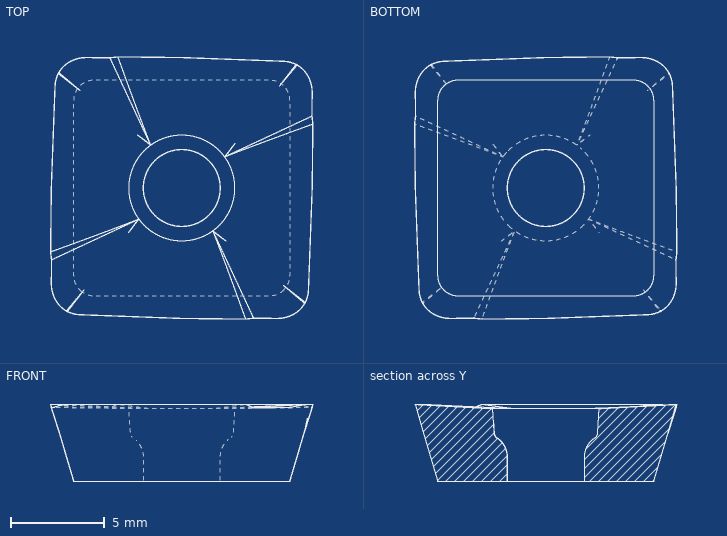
import cadquery as cq
import math

THICKNESS = 4.13
FLANK_BREAK_DEPTH = 1.53
FLANK_BREAK_HEIGHT = THICKNESS - FLANK_BREAK_DEPTH

EDGE_MIDDLE_OFFSET = 6.975
CUTTING_EDGE_ANGLE = math.radians(0.6)
TRAILING_EDGE_ANGLE = math.radians(2.1)
TOP_CORNER_RADIUS = 1.65

BREAK_HALF_WIDTH = 6.54
BREAK_CORNER_RADIUS = 1.35
BASE_HALF_WIDTH = 5.77
BASE_CORNER_RADIUS = 1.1

HOLE_RADIUS = 4.1 / 2
MOUTH_RADIUS = 2.83
MOUTH_DEPTH = 0.23
MOUTH_HEIGHT = THICKNESS - MOUTH_DEPTH
MOUTH_CORNER_HALF_ANGLE = math.radians(8)
SEAT_OUTER_RADIUS = 2.75
SEAT_INNER_RADIUS = 2.54
SEAT_OUTER_DEPTH = FLANK_BREAK_DEPTH
SEAT_INNER_DEPTH = 1.83
SEAT_END_DEPTH = 2.83

RELIEF_DEPTH = 0.17
RELIEF_STEP_START = 3.4
RELIEF_STEP_END = 3.85
RELIEF_FLOOR_END = 5.75
RELIEF_APEX_ANGLE = math.radians(-54)
RELIEF_HINGE_POINT = (6.65, -6.15)
RELIEF_REACH = 8.5

SIDES = 4


def turned(x, y, side):
    """Point turned about the hole axis to the given side."""
    angle = 2 * math.pi * side / SIDES
    c = math.cos(angle)
    s = math.sin(angle)
    return x * c - y * s, x * s + y * c


def rounded_outline(middle_offset, corner, corner_radius, height):
    """Closed outline through four edge middles and four rounded corners."""
    points = []
    for side in range(SIDES):
        points.append(cq.Vector(*turned(0, -middle_offset, side), height))
        points.append(cq.Vector(*turned(*corner, side), height))
    wire = cq.Wire.makePolygon(points, close=True)
    corner_limit = (middle_offset + math.hypot(*corner)) / 2
    corners = [v for v in wire.Vertices() if math.hypot(v.X, v.Y) > corner_limit]
    return wire.fillet2D(corner_radius, corners)


def square_outline(half_width, corner_radius, height):
    return rounded_outline(half_width, (half_width, -half_width), corner_radius, height)


def top_outline():
    """Bent-edge outline; each corner joins a cutting half-edge to a trailing one."""
    fall = math.tan(CUTTING_EDGE_ANGLE)
    lean = math.tan(TRAILING_EDGE_ANGLE)
    corner_x = EDGE_MIDDLE_OFFSET * (1 - lean) / (1 + fall * lean)
    corner_y = -(EDGE_MIDDLE_OFFSET + fall * corner_x)
    return rounded_outline(EDGE_MIDDLE_OFFSET, (corner_x, corner_y), TOP_CORNER_RADIUS, THICKNESS)


def insert_body():
    flank_break = square_outline(BREAK_HALF_WIDTH, BREAK_CORNER_RADIUS, FLANK_BREAK_HEIGHT)
    base = square_outline(BASE_HALF_WIDTH, BASE_CORNER_RADIUS, 0)
    lower = cq.Solid.makeLoft([base, flank_break], True)
    upper = cq.Solid.makeLoft([flank_break, top_outline()], True)
    return cq.Workplane(obj=lower).union(cq.Workplane(obj=upper))


def mouth_point(angle):
    """Point on the mouth circle of the screw hole."""
    return cq.Vector(MOUTH_RADIUS * math.cos(angle), MOUTH_RADIUS * math.sin(angle), MOUTH_HEIGHT)


def mouth_outline():
    """Mouth circle split to pair one arc with each line and corner of the top outline."""
    breaks = []
    for side in range(SIDES):
        edge_middle = 2 * math.pi * side / SIDES - math.pi / 2
        corner = edge_middle + math.pi / SIDES
        breaks += [edge_middle, corner - MOUTH_CORNER_HALF_ANGLE, corner + MOUTH_CORNER_HALF_ANGLE]
    breaks.append(breaks[0] + 2 * math.pi)
    arcs = []
    for start, end in zip(breaks, breaks[1:]):
        points = [mouth_point(angle) for angle in (start, (start + end) / 2, end)]
        arcs.append(cq.Edge.makeThreePointArc(*points))
    return cq.Wire.assembleEdges(arcs)


def rake_dish():
    """Shallow dish ruled from the cutting edge down to the hole mouth."""
    return cq.Workplane(obj=cq.Solid.makeLoft([mouth_outline(), top_outline()], True))


def screw_hole():
    """Revolved cutter: tapered mouth, concave fillet, convex seat, through hole."""
    seat_inset = SEAT_INNER_RADIUS - HOLE_RADIUS
    seat_drop = SEAT_END_DEPTH - SEAT_INNER_DEPTH
    seat_radius = (seat_inset**2 + seat_drop**2) / (2 * seat_inset)
    half_sweep = math.asin(seat_drop / seat_radius) / 2
    arc_middle = (
        HOLE_RADIUS + seat_radius * (1 - math.cos(half_sweep)),
        THICKNESS - SEAT_END_DEPTH + seat_radius * math.sin(half_sweep),
    )
    fillet_inset = SEAT_OUTER_RADIUS - SEAT_INNER_RADIUS
    fillet_drop = SEAT_INNER_DEPTH - SEAT_OUTER_DEPTH
    fillet_radius = (fillet_inset**2 + fillet_drop**2) / (2 * fillet_inset)
    fillet_half_sweep = math.asin(fillet_drop / fillet_radius) / 2
    fillet_middle = (
        SEAT_OUTER_RADIUS - fillet_radius * (1 - math.cos(fillet_half_sweep)),
        THICKNESS - SEAT_OUTER_DEPTH - fillet_radius * math.sin(fillet_half_sweep),
    )
    return (
        cq.Workplane("XZ")
        .moveTo(0, 0)
        .lineTo(HOLE_RADIUS, 0)
        .lineTo(HOLE_RADIUS, THICKNESS - SEAT_END_DEPTH)
        .threePointArc(arc_middle, (SEAT_INNER_RADIUS, THICKNESS - SEAT_INNER_DEPTH))
        .threePointArc(fillet_middle, (SEAT_OUTER_RADIUS, THICKNESS - SEAT_OUTER_DEPTH))
        .lineTo(MOUTH_RADIUS, MOUTH_HEIGHT)
        .lineTo(0, MOUTH_HEIGHT)
        .close()
        .revolve(360, (0, 0), (0, 1))
    )


def corner_relief():
    """Flat pyramid with its apex at the hole rim and its base outside the edge."""
    apex = mouth_point(RELIEF_APEX_ANGLE)
    edge_y = -EDGE_MIDDLE_OFFSET

    def on_base(x, y, depth):
        """Extend the ray from the apex through a rim point out to the base plane."""
        stretch = (-RELIEF_REACH - apex.y) / (y - apex.y)
        return apex + (cq.Vector(x, y, THICKNESS - depth) - apex) * stretch

    base = [
        on_base(RELIEF_STEP_START, edge_y, 0),
        on_base(RELIEF_STEP_END, edge_y, RELIEF_DEPTH),
        on_base(RELIEF_FLOOR_END, edge_y, RELIEF_DEPTH),
        on_base(*RELIEF_HINGE_POINT, 0),
    ]
    outlines = [base]
    for index, point in enumerate(base):
        outlines.append([apex, base[index - 1], point])
    faces = [cq.Face.makeFromWires(cq.Wire.makePolygon(outline, close=True)) for outline in outlines]
    return cq.Workplane(obj=cq.Solid.makeSolid(cq.Shell.makeShell(faces)))


result = insert_body().cut(rake_dish()).cut(screw_hole())
for side in range(SIDES):
    relief = corner_relief().rotate((0, 0, 0), (0, 0, 1), 360 / SIDES * side)
    result = result.cut(relief)